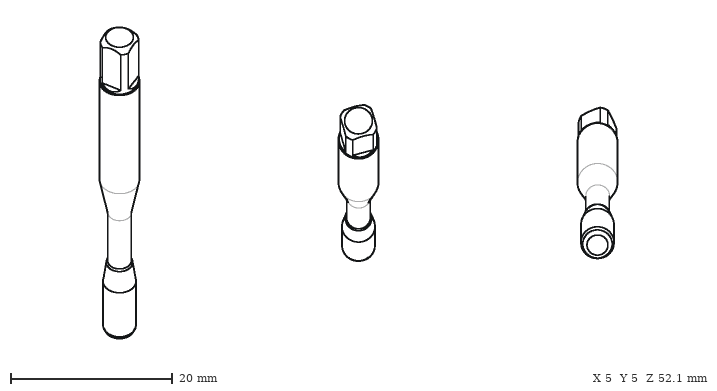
import cadquery as cq

total_length = 52.1

tip_diameter = 4.1
tip_length = 8.85
tip_chamfer_height = 1.05
tip_break_diameter = 3.65
tip_break_z = 0.45
tip_end_diameter = 2.6

runout_base_diameter = tip_diameter
runout_top_diameter = 3.3
runout_top_z = 12.2
neck_diameter = 2.95
neck_bottom_z = 12.5
neck_top_z = 21.1

shank_diameter = 5.0
shank_bottom_z = 26.95
shank_top_z = 44.35
shank_chamfer_height = 0.1

drive_diameter = 4.8
drive_across_flats = 4.0
flat_bottom_z = 45.1
drive_end_diameter = 3.45
ramp_slope = 1.1


def revolve_profile(points):
    """Revolve a list of (diameter, z) pairs, running up the outside, about the Z axis."""
    bottom_z = points[0][1]
    top_z = points[-1][1]
    outline = [(0, bottom_z)] + [(diameter / 2, z) for diameter, z in points] + [(0, top_z)]
    return cq.Workplane("XZ").polyline(outline).close().revolve(360, (0, 0), (0, 1))


def make_tip():
    """Cylindrical threading tip with a double chamfer at its lower end."""
    return revolve_profile([
        (tip_end_diameter, 0),
        (tip_break_diameter, tip_break_z),
        (tip_diameter, tip_chamfer_height),
        (tip_diameter, tip_length),
    ])


def make_flat_cutter():
    """Cutter for the +X flat: a vertical face that runs out along a ramp at its foot."""
    inner_x = drive_across_flats / 2
    outer_x = shank_diameter
    ramp_drop = (outer_x - inner_x) * ramp_slope
    outline = [
        (inner_x, total_length),
        (inner_x, flat_bottom_z),
        (outer_x, flat_bottom_z - ramp_drop),
        (outer_x, total_length),
    ]
    return cq.Workplane("XZ").polyline(outline).close().extrude(shank_diameter, both=True)


def make_holder():
    """Neck, shank and square drive in one turned body, with the four flats cut."""
    end_chamfer = (drive_diameter - drive_end_diameter) / 2
    holder = revolve_profile([
        (runout_base_diameter, tip_length),
        (runout_top_diameter, runout_top_z),
        (neck_diameter, neck_bottom_z),
        (neck_diameter, neck_top_z),
        (shank_diameter, shank_bottom_z),
        (shank_diameter, shank_top_z),
        (drive_diameter, shank_top_z + shank_chamfer_height),
        (drive_diameter, total_length - end_chamfer),
        (drive_end_diameter, total_length),
    ])
    cutter = make_flat_cutter()
    for angle in range(0, 360, 90):
        holder = holder.cut(cutter.rotate((0, 0, 0), (0, 0, 1), angle))
    return holder


tip = make_tip()
holder = make_holder()

result = cq.Compound.makeCompound([tip.val(), holder.val()])